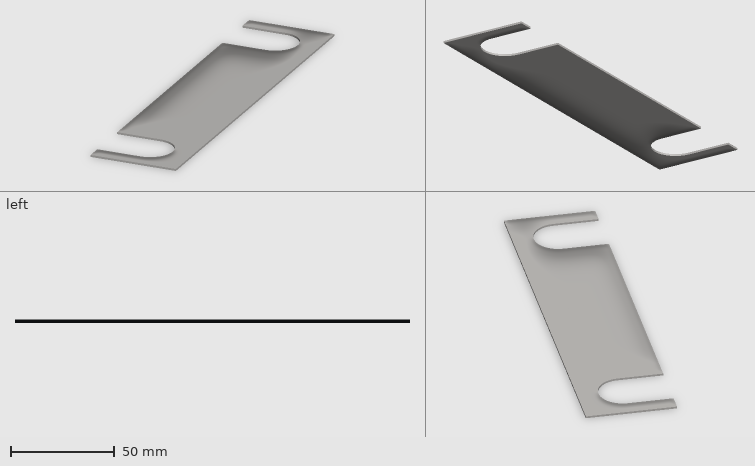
import cadquery as cq

length = 190.0
width = 45.0
thickness = 1.0

slot_width = 24.0
slot_depth = 34.5
slot_spacing = 150.0

slot_radius = slot_width / 2
slot_center_x = -width / 2 + slot_depth - slot_radius


def open_slot(center_y):
    """Cutter with a round inner end, running out through the -X edge."""
    straight_length = slot_center_x + width / 2
    straight = (
        cq.Workplane("XY")
        .center(slot_center_x - straight_length / 2, center_y)
        .rect(straight_length, slot_width)
        .extrude(thickness)
    )
    round_end = (
        cq.Workplane("XY")
        .center(slot_center_x, center_y)
        .circle(slot_radius)
        .extrude(thickness)
    )
    return straight.union(round_end)


result = cq.Workplane("XY").box(width, length, thickness, centered=(True, True, False))
for side in (-1, 1):
    result = result.cut(open_slot(side * slot_spacing / 2))